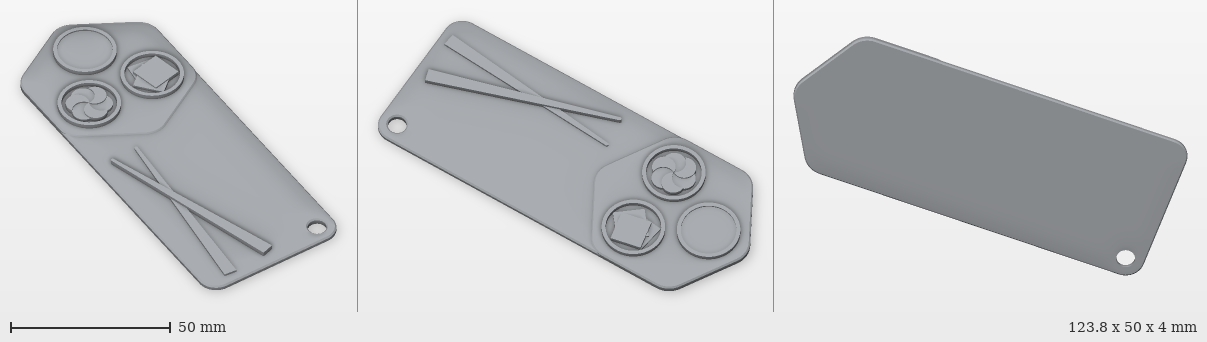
import cadquery as cq
import math

LENGTH = 123.8
WIDTH = 50.0
PLATE_TOP = 2.0
TOP_CHAMFER = 0.5
BOTTOM_CHAMFER = 0.43
HEX_CORNER_RADIUS = 7.5
END_CORNER_RADIUS = 6.1

HEX_SIDES = 6
HEX_CIRCUMRADIUS = WIDTH / math.sqrt(3)
TIP_LOSS = HEX_CORNER_RADIUS * (2 / math.sqrt(3) - 1)
LEFT_X = TIP_LOSS - HEX_CIRCUMRADIUS
RIGHT_X = LEFT_X + LENGTH

HEX_TOP = PLATE_TOP + TOP_CHAMFER

HOLE_DIAMETER = 6.0
HOLE_X = RIGHT_X - END_CORNER_RADIUS
HOLE_Y = WIDTH / 2 - END_CORNER_RADIUS

RING_OUTER_DIAMETER = 20.0
RING_INNER_DIAMETER = 17.5
RING_TOP = 4.0
RING_PITCH_RADIUS = 13.6
PLAIN_RING_ANGLE = 180
SHEET_RING_ANGLE = 60
PINWHEEL_RING_ANGLE = -60
PLAIN_DISC_TOP = 3.5

SHEET_SIDE = 10.0
SHEETS = [
    (-1.7, -0.1, -7, 3.0),
    (1.4, -0.6, 40, 3.5),
    (0.0, 1.4, 12, RING_TOP),
]

BLADE_COUNT = 6
BLADE_RADIUS = 3.7
LOW_BLADE_TOP = 3.5
HIGH_BLADE_TOP = RING_TOP

STICK_LENGTH = 63.2
STICK_WIDE_END = 4.2
STICK_NARROW_END = 1.1
UPPER_STICK = (31.2, -19.6, 17.6, 3.6)
LOWER_STICK = (30.0, -9.8, -5.1, 2.7)


def polar(radius, angle):
    turn = math.radians(angle)
    return radius * math.cos(turn), radius * math.sin(turn)


def hexagon(top):
    outline = cq.Workplane("XY").polygon(HEX_SIDES, 2 * HEX_CIRCUMRADIUS)
    return outline.extrude(top).edges("|Z").fillet(HEX_CORNER_RADIUS)


def bevel(slab):
    return slab.faces("<Z").chamfer(BOTTOM_CHAMFER).faces(">Z").chamfer(TOP_CHAMFER)


def make_tag():
    straight_part = (
        cq.Workplane("XY")
        .rect(RIGHT_X, WIDTH)
        .extrude(PLATE_TOP)
        .translate((RIGHT_X / 2, 0, 0))
        .edges("|Z and >X")
        .fillet(END_CORNER_RADIUS)
    )
    plate = bevel(straight_part.union(hexagon(PLATE_TOP)))
    raised_hexagon = bevel(hexagon(HEX_TOP))
    return plate.union(raised_hexagon)


def cut_hole(tag):
    hole = cq.Workplane("XY").center(HOLE_X, HOLE_Y).circle(HOLE_DIAMETER / 2).extrude(PLATE_TOP)
    countersink = (
        cq.Workplane("XY", origin=(HOLE_X, HOLE_Y, PLATE_TOP - TOP_CHAMFER))
        .circle(HOLE_DIAMETER / 2)
        .workplane(offset=TOP_CHAMFER)
        .circle(HOLE_DIAMETER / 2 + TOP_CHAMFER)
        .loft()
    )
    return tag.cut(hole).cut(countersink)


def make_ring(angle):
    x, y = polar(RING_PITCH_RADIUS, angle)
    return (
        cq.Workplane("XY", origin=(x, y, HEX_TOP))
        .circle(RING_OUTER_DIAMETER / 2)
        .circle(RING_INNER_DIAMETER / 2)
        .extrude(RING_TOP - HEX_TOP)
    )


def make_plain_disc():
    x, y = polar(RING_PITCH_RADIUS, PLAIN_RING_ANGLE)
    disc = cq.Workplane("XY", origin=(x, y, HEX_TOP)).circle(RING_INNER_DIAMETER / 2)
    return disc.extrude(PLAIN_DISC_TOP - HEX_TOP)


def make_sheet(offset_x, offset_y, turn, top):
    x, y = polar(RING_PITCH_RADIUS, SHEET_RING_ANGLE)
    return (
        cq.Workplane("XY")
        .rect(SHEET_SIDE, SHEET_SIDE)
        .extrude(top - HEX_TOP)
        .rotate((0, 0, 0), (0, 0, 1), turn)
        .translate((x + offset_x, y + offset_y, HEX_TOP))
    )


def make_stick(tip_x, tip_y, turn, top):
    tip_half = STICK_NARROW_END / 2
    wide_half = STICK_WIDE_END / 2
    return (
        cq.Workplane("XY")
        .moveTo(tip_half, -tip_half)
        .lineTo(STICK_LENGTH, -wide_half)
        .lineTo(STICK_LENGTH, wide_half)
        .lineTo(tip_half, tip_half)
        .threePointArc((0, 0), (tip_half, -tip_half))
        .close()
        .extrude(top - PLATE_TOP)
        .rotate((0, 0, 0), (0, 0, 1), turn)
        .translate((tip_x, tip_y, PLATE_TOP))
    )


def pinwheel_disc(angle, top):
    ring_x, ring_y = polar(RING_PITCH_RADIUS, PINWHEEL_RING_ANGLE)
    x, y = polar(BLADE_RADIUS, angle)
    disc = cq.Workplane("XY", origin=(ring_x + x, ring_y + y, HEX_TOP)).circle(BLADE_RADIUS)
    return disc.extrude(top - HEX_TOP)


def make_blade(index):
    step = 360 / BLADE_COUNT
    top = HIGH_BLADE_TOP if index % 2 == 0 else LOW_BLADE_TOP
    return pinwheel_disc(index * step, top).cut(pinwheel_disc((index + 1) * step, top))


tag = cut_hole(make_tag())
for ring_angle in (PLAIN_RING_ANGLE, SHEET_RING_ANGLE, PINWHEEL_RING_ANGLE):
    tag = tag.union(make_ring(ring_angle))
tag = tag.union(make_plain_disc())
for sheet in SHEETS:
    tag = tag.union(make_sheet(*sheet))
for stick in (LOWER_STICK, UPPER_STICK):
    tag = tag.union(make_stick(*stick))

blades = [make_blade(index) for index in range(BLADE_COUNT)]

result = cq.Compound.makeCompound([tag.val(), *[blade.val() for blade in blades]])